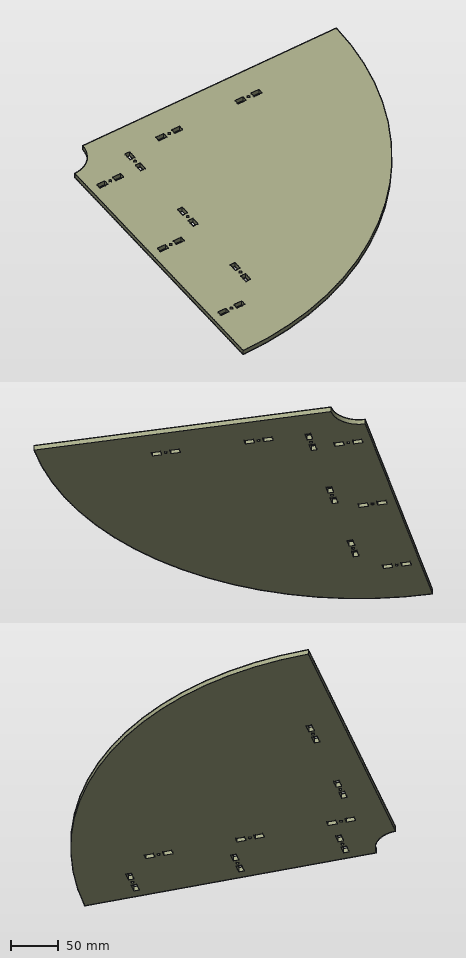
import cadquery as cq
import math

outer_radius = 350.0
corner_radius = 30.0
thickness = 6.0

slot_length = 10.0
slot_width = 6.0
pattern_length = 30.0
screw_hole_diameter = 3.0
slot_offset = (pattern_length - slot_length) / 2

bottom_row_y = 25.0
bottom_row_center_x = 175.0
bottom_row_pitch = 115.0

upper_row_y = 63.0
upper_row_center_x = 150.0
upper_row_pitch = 100.0

left_column_x = 35.0
left_column_center_y = 166.0
left_column_pitch = 100.0


def make_panel():
    """Quarter disc with a concave round notch at its corner."""
    diagonal = math.sqrt(0.5)
    return (
        cq.Workplane("XY")
        .moveTo(corner_radius, 0)
        .lineTo(outer_radius, 0)
        .threePointArc((outer_radius * diagonal, outer_radius * diagonal), (0, outer_radius))
        .lineTo(0, corner_radius)
        .threePointArc((corner_radius * diagonal, corner_radius * diagonal), (corner_radius, 0))
        .close()
        .extrude(thickness)
    )


def make_pattern_cutter(center, angle):
    """Two slots and a screw hole in line, with the line turned by angle from X."""
    slots = (
        cq.Workplane("XY")
        .pushPoints([(-slot_offset, 0), (slot_offset, 0)])
        .rect(slot_length, slot_width)
        .extrude(thickness)
    )
    screw_hole = cq.Workplane("XY").circle(screw_hole_diameter / 2).extrude(thickness)
    cutter = slots.union(screw_hole)
    return cutter.rotate((0, 0, 0), (0, 0, 1), angle).translate((*center, 0))


def cut_patterns(panel, centers, angle):
    for center in centers:
        panel = panel.cut(make_pattern_cutter(center, angle))
    return panel


bottom_row = [(bottom_row_center_x + step * bottom_row_pitch, bottom_row_y) for step in (-1, 0, 1)]
upper_row = [(upper_row_center_x + step * upper_row_pitch, upper_row_y) for step in (-1, 0, 1)]
left_column = [(left_column_x, left_column_center_y + step * left_column_pitch) for step in (-0.5, 0.5)]

result = make_panel()
result = cut_patterns(result, bottom_row, 90)
result = cut_patterns(result, upper_row, 0)
result = cut_patterns(result, left_column, 90)